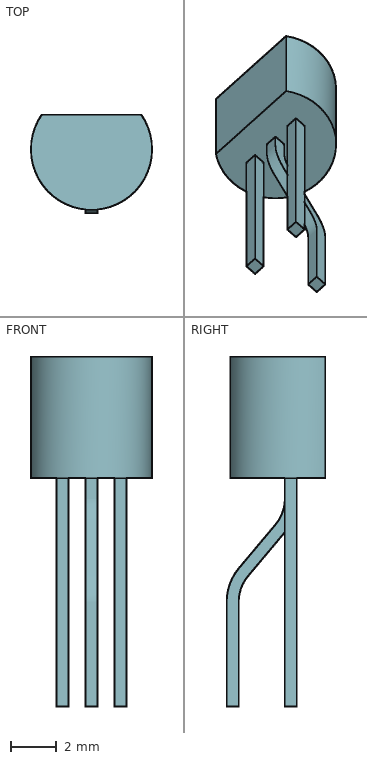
import cadquery as cq
import math

total_height = 15.33
body_diameter = 5.32
body_height = 5.32
flat_offset = 1.52

lead_width = 0.54
lead_pitch = 1.27
bend_offset = 2 * lead_pitch
bend_angle = 40.0
bend_inner_radius = 1.75
straight_drop = 0.92

body_radius = body_diameter / 2
lead_length = total_height - body_height
half_width = lead_width / 2


def make_body():
    cylinder = cq.Workplane("XY").workplane(offset=lead_length).circle(body_radius).extrude(body_height)
    keep_depth = body_radius + flat_offset
    keep = cq.Workplane("XY").box(body_diameter, keep_depth, total_height, centered=(True, False, False))
    return cylinder.intersect(keep.translate((0, -body_radius, 0)))


def make_straight_lead(x):
    lead = cq.Workplane("XY").box(lead_width, lead_width, lead_length, centered=(True, True, False))
    return lead.translate((x, 0, 0))


def make_bent_lead():
    angle = math.radians(bend_angle)
    radius = bend_inner_radius + half_width
    bend_shift = radius * (1 - math.cos(angle))
    bend_drop = radius * math.sin(angle)
    slope_shift = bend_offset - 2 * bend_shift
    slope_drop = slope_shift / math.tan(angle)
    bend_top = lead_length - straight_drop
    foot_top = bend_top - 2 * bend_drop - slope_drop

    half_shift = radius * (1 - math.cos(angle / 2))
    half_drop = radius * math.sin(angle / 2)
    centre_line = (
        cq.Workplane("YZ")
        .moveTo(0, lead_length)
        .lineTo(0, bend_top)
        .threePointArc((-half_shift, bend_top - half_drop), (-bend_shift, bend_top - bend_drop))
        .lineTo(bend_shift - bend_offset, foot_top + bend_drop)
        .threePointArc((half_shift - bend_offset, foot_top + half_drop), (-bend_offset, foot_top))
        .lineTo(-bend_offset, 0)
    )
    section = cq.Workplane("XY").workplane(offset=lead_length).rect(lead_width, lead_width)
    return section.sweep(centre_line)


result = make_body().union(make_bent_lead())
for side in (-1, 1):
    result = result.union(make_straight_lead(side * lead_pitch))